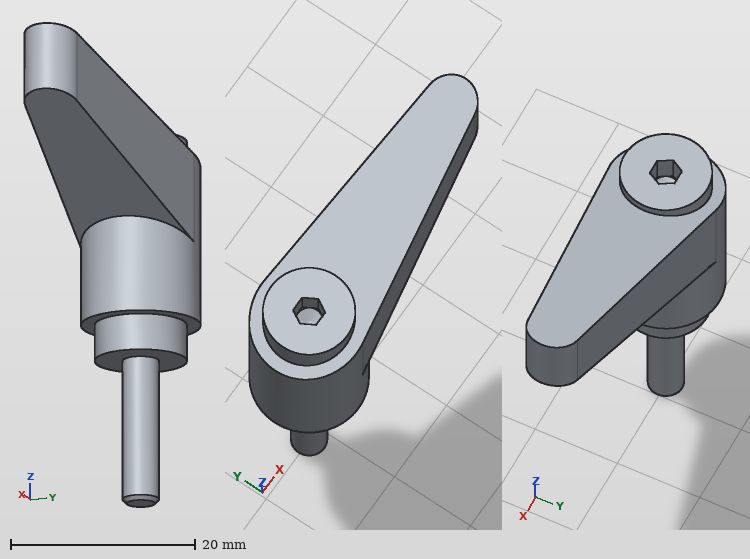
import cadquery as cq
import math

total_height = 46.5
body_radius = 6.5
collar_radius = 5.0
stud_radius = 2.0
stud_chamfer = 0.45
collar_bottom = 16.0
body_bottom = 20.0
cap_top = 40.55

arm_reach = 30.0
tip_radius = 3.0
tip_thickness = 7.35
top_slope = math.tan(math.radians(15.4))
underside_slope = math.tan(math.radians(19.9))

socket_flats = 3.0
socket_depth = 3.0
cone_slope = math.tan(math.radians(30))

tip_center = arm_reach - tip_radius
tangent_cos = (body_radius - tip_radius) / tip_center
tangent_sin = math.sqrt(1 - tangent_cos**2)


def top_height(x):
    """Height of the sloping top face."""
    return total_height - (arm_reach - x) * top_slope


def underside_height(x):
    """Height of the sloping underside of the arm."""
    return total_height - tip_thickness - (arm_reach - x) * underside_slope


def cylinder(radius, bottom, top):
    return cq.Workplane("XY").workplane(offset=bottom).circle(radius).extrude(top - bottom)


def side_profile(points):
    """Prism across the full width of the lever from an XZ outline."""
    return cq.Workplane("XZ").polyline(points).close().extrude(body_radius, both=True)


def make_body():
    blank = cylinder(body_radius, body_bottom, total_height)
    below_top = side_profile([
        (-body_radius, body_bottom),
        (body_radius, body_bottom),
        (body_radius, top_height(body_radius)),
        (-body_radius, top_height(-body_radius)),
    ])
    return blank.intersect(below_top)


def make_arm():
    body_x = body_radius * tangent_cos
    body_y = body_radius * tangent_sin
    tip_x = tip_center + tip_radius * tangent_cos
    tip_y = tip_radius * tangent_sin
    plan = (
        cq.Workplane("XY")
        .moveTo(body_x, -body_y)
        .lineTo(tip_x, -tip_y)
        .threePointArc((arm_reach, 0), (tip_x, tip_y))
        .lineTo(body_x, body_y)
        .close()
        .extrude(total_height)
    )
    side = side_profile([
        (body_x, underside_height(body_x)),
        (arm_reach, underside_height(arm_reach)),
        (arm_reach, top_height(arm_reach)),
        (body_x, top_height(body_x)),
    ])
    return plan.intersect(side)


def make_socket():
    """Hexagonal socket with corners on the X axis and a conical drill-point bottom."""
    corner_radius = socket_flats / math.sqrt(3)
    floor = cap_top - socket_depth
    hexagon = (
        cq.Workplane("XY").workplane(offset=floor)
        .polygon(6, 2 * corner_radius).extrude(socket_depth)
    )
    cone_radius = socket_flats / 2
    cone_depth = cone_radius * cone_slope
    cone = cq.Workplane("XY").add(
        cq.Solid.makeCone(cone_radius, 0, cone_depth, cq.Vector(0, 0, floor), cq.Vector(0, 0, -1))
    )
    return hexagon.union(cone)


stud = cylinder(stud_radius, 0, body_bottom).faces("<Z").chamfer(stud_chamfer)
core = cylinder(collar_radius, collar_bottom, cap_top)
result = make_body().union(make_arm()).union(core).union(stud).cut(make_socket())